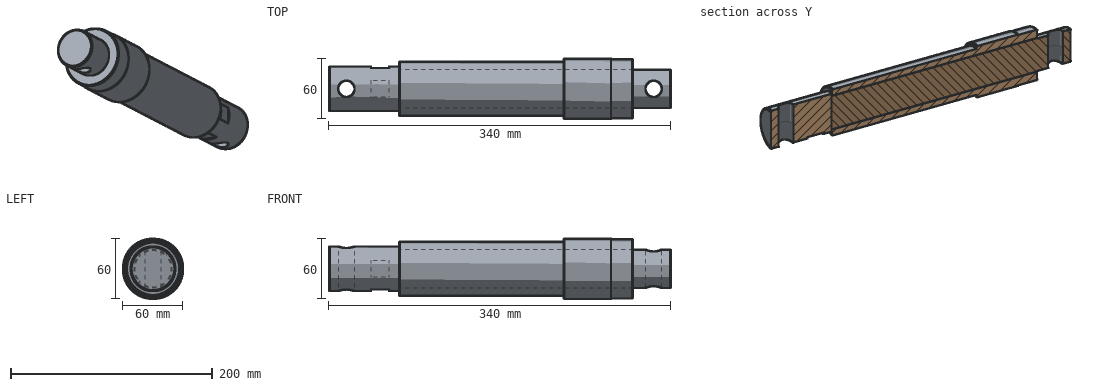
import cadquery as cq

base_diameter = 44.5
tube_diameter = 54.0
collar_diameter = 60.0
head_diameter = 59.0
rod_diameter = 38.2

tube_start = 69.5
collar_start = 233.0
head_start = 280.0
head_end = 302.0
overall_length = 340.0

base_chamfer = 1.0
step_chamfer = 1.0
rod_chamfer = 1.0

pin_hole_diameter = 16.0
pin_end_distance = 17.5
base_pin_x = pin_end_distance
rod_pin_x = overall_length - pin_end_distance

port_flat_length = 18.0
port_flat_depth = 1.5
port_x = 51.0
port_angles = (0, -90)


def cylinder(diameter, start, end):
    """Round bar along X between two stations."""
    return cq.Workplane("YZ", origin=(start, 0, 0)).circle(diameter / 2).extrude(end - start)


def pin_hole(x):
    """Cutter for a hole along Z, longer than any bar diameter."""
    center = cq.Workplane("XY", origin=(x, 0, 0))
    return center.circle(pin_hole_diameter / 2).extrude(collar_diameter, both=True)


def port_flat(angle):
    """Cutter for a flat facing +Y, turned about X by an angle."""
    flat_level = base_diameter / 2 - port_flat_depth
    flat = (
        cq.Workplane("XY", origin=(port_x, flat_level, 0))
        .box(port_flat_length, base_diameter, base_diameter, centered=(True, False, True))
    )
    return flat.rotate((0, 0, 0), (1, 0, 0), angle)


def make_housing():
    """Base, tube, collar and head in one piece, bored for the rod."""
    base = cylinder(base_diameter, 0, tube_start).faces("<X").chamfer(base_chamfer)
    tube = cylinder(tube_diameter, tube_start, collar_start).faces("<X").chamfer(step_chamfer)
    collar = cylinder(collar_diameter, collar_start, head_start).faces("<X").chamfer(step_chamfer)
    head = cylinder(head_diameter, head_start, head_end).faces(">X").chamfer(step_chamfer)
    housing = base.union(tube).union(collar).union(head)
    housing = housing.cut(cylinder(rod_diameter, tube_start, head_end))
    housing = housing.cut(pin_hole(base_pin_x))
    for angle in port_angles:
        housing = housing.cut(port_flat(angle))
    return housing


def make_rod():
    """Rod filling the bore, with its pin hole outside the head."""
    rod = cylinder(rod_diameter, tube_start, overall_length).faces(">X").chamfer(rod_chamfer)
    return rod.cut(pin_hole(rod_pin_x))


housing = make_housing()
rod = make_rod()

result = cq.Compound.makeCompound([housing.val(), rod.val()])